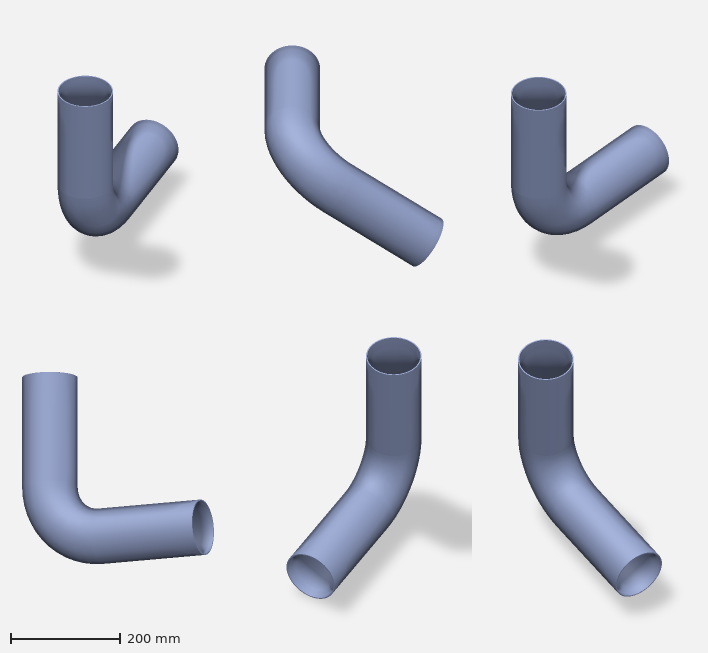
import cadquery as cq

overall_length = 355.5
outer_diameter = 101.7
inner_diameter = 97.5

outer_radius = outer_diameter / 2
inner_radius = inner_diameter / 2
bend_radius = outer_diameter
leg_length = overall_length - bend_radius - outer_radius

leg_end = bend_radius + leg_length


def pipe_section(plane):
    """Ring-shaped cross-section of the pipe on the given plane."""
    return cq.Workplane(plane).circle(outer_radius).circle(inner_radius)


upright_leg = pipe_section(cq.Plane.XY(origin=(0, 0, leg_end))).extrude(-leg_length)
level_leg = pipe_section(cq.Plane.ZX(origin=(0, leg_end, 0))).extrude(-leg_length)

elbow = pipe_section(cq.Plane.XY(origin=(0, 0, bend_radius))).revolve(
    90, (0, bend_radius, 0), (1, bend_radius, 0)
)

result = upright_leg.union(elbow).union(level_leg)